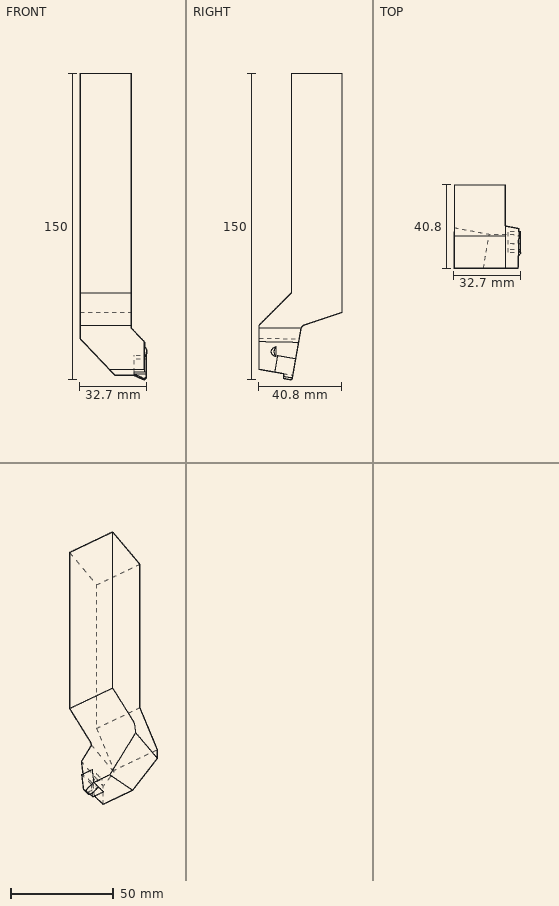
import cadquery as cq
import math


shank_size = 24.9
top_z = 150.0
shank_front_z = 42.6
shank_back_z = 33.0
shank_right_z = 25.4

head_reach = 15.9
head_front_z = shank_front_z - head_reach
head_bottom_z = 5.1
head_right_x = 31.2
corner_cut_z = 20.0
cut_slope = math.radians(46.5)
tilt = math.radians(10.0)
undercut = math.radians(18.5)
head_lean = math.radians(1.0)
side_lean = math.radians(0.3)
undercut_radius = 2.4

corner_y = 0.8
corner_z = head_bottom_z - (corner_y + head_reach) * math.tan(tilt)

insert_width = 9.0
insert_height = 8.3
insert_back_x = 26.1
insert_face_x = 32.3
tip_width = 4.5
tip_edge_x = 31.2
rake_depth = 1.0
tip_radius = 0.9
tip_length = tip_radius + (corner_z - tip_radius * (1 - math.sin(tilt))) / math.cos(tilt)

screw_diameter = 5.4
screw_length = 4.5
screw_angle = math.radians(40.0)
screw_rim_x = 32.5
screw_rim_y = -8.4
screw_z = 13.8


def side_profile():
    """Crank outline in the YZ plane, with a rounded undercut behind the head."""
    undercut_y = (
        shank_back_z - corner_z - shank_size * math.tan(undercut) + corner_y / math.tan(tilt)
    ) / (1 / math.tan(tilt) - math.tan(undercut))
    undercut_z = shank_back_z - (shank_size - undercut_y) * math.tan(undercut)
    width = 2 * insert_face_x
    profile = (
        cq.Workplane("YZ", origin=(-width / 4, 0, 0))
        .moveTo(0, top_z)
        .lineTo(0, shank_front_z)
        .lineTo(-head_reach, head_front_z)
        .lineTo(-head_reach, head_bottom_z)
        .lineTo(corner_y, corner_z)
        .lineTo(undercut_y, undercut_z)
        .lineTo(shank_size, shank_back_z)
        .lineTo(shank_size, top_z)
        .close()
        .extrude(width)
    )
    undercut_edge = cq.selectors.NearestToPointSelector((width / 4, undercut_y, undercut_z))
    return profile.edges(undercut_edge).fillet(undercut_radius)


def front_profile():
    """Outline in the XZ plane: straight shank, offset head and cut lower corner."""
    overrun = shank_size
    drop = overrun * math.tan(cut_slope)
    return (
        cq.Workplane("XZ", origin=(0, shank_size, 0))
        .moveTo(0, top_z)
        .lineTo(shank_size, top_z)
        .lineTo(shank_size, shank_right_z)
        .lineTo(shank_size + overrun, shank_right_z - drop)
        .lineTo(shank_size + overrun, 0)
        .lineTo(corner_cut_z / math.tan(cut_slope), 0)
        .lineTo(-overrun, corner_cut_z + drop)
        .lineTo(-overrun, top_z)
        .close()
        .extrude(shank_size + head_reach)
    )


def plan_profile():
    """Outline in the XY plane, whose -X side and head's +X side lean towards -X at the front."""
    depth = shank_size + head_reach
    return (
        cq.Workplane("XY")
        .moveTo(0, shank_size)
        .lineTo(-depth * math.tan(side_lean), -head_reach)
        .lineTo(head_right_x, -head_reach)
        .lineTo(head_right_x + depth * math.tan(head_lean), shank_size)
        .close()
        .extrude(top_z)
    )


def screw_end():
    """Slanted cylinder whose rim stands out of the +X side of the head."""
    axis = cq.Vector(math.sin(screw_angle), math.cos(screw_angle), 0)
    outward = cq.Vector(math.cos(screw_angle), -math.sin(screw_angle), 0)
    rim = cq.Vector(screw_rim_x, screw_rim_y, screw_z)
    end_centre = rim - outward * (screw_diameter / 2)
    cylinder = cq.Solid.makeCylinder(screw_diameter / 2, screw_length, end_centre, axis * -1)
    return cq.Workplane(cylinder)


def make_insert():
    """Block seated flush in the head's lower back corner, with a rounded hooked tip below it."""
    seat = cq.Plane(
        origin=(insert_face_x, corner_y, corner_z),
        xDir=(0, -math.cos(tilt), math.sin(tilt)),
        normal=(-1, 0, 0),
    )
    thickness = insert_face_x - insert_back_x
    body = cq.Workplane(seat).rect(insert_width, insert_height, centered=False).extrude(thickness)

    tip_blank = (
        cq.Workplane(seat)
        .moveTo(0, 0)
        .lineTo(0, tip_radius - tip_length)
        .radiusArc((tip_radius, -tip_length), -tip_radius)
        .lineTo(tip_width - tip_radius, -tip_length)
        .radiusArc((tip_width, tip_radius - tip_length), -tip_radius)
        .lineTo(tip_width, 0)
        .close()
        .extrude(thickness)
    )
    edge_plane = cq.Plane(origin=seat.origin, xDir=(1, 0, 0), normal=seat.xDir)
    tip_sides = (
        cq.Workplane(edge_plane)
        .moveTo(-thickness, 0)
        .lineTo(tip_edge_x - insert_face_x, -tip_length)
        .lineTo(0, rake_depth - tip_length)
        .lineTo(0, 0)
        .close()
        .extrude(tip_width)
    )
    return body.union(tip_blank.intersect(tip_sides))


def make_holder(insert):
    """Shank, crank and head with the screw end, and the seat that the insert fills."""
    blank = side_profile().intersect(front_profile()).intersect(plan_profile())
    return blank.union(screw_end()).cut(insert)


insert = make_insert()
holder = make_holder(insert)

result = cq.Compound.makeCompound([holder.solids().val(), insert.solids().val()])